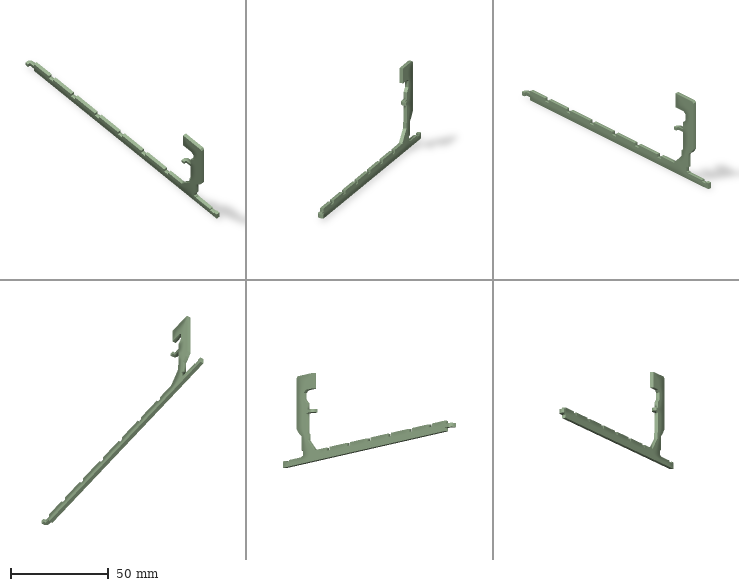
import cadquery as cq

length = 139.4
height = 45.8
thickness = 2.0
hook_reach = 3.3

beam_left = 4.7
beam_top = 5.5
notch_depth = 1.7
notch_starts = (15.7, 32.0, 49.6, 66.6, 83.6, 100.6)
notch_width = 2.9

tail_top = 3.3
tail_notch_left = 134.3
tail_notch_right = 137.3
tail_notch_depth = 0.8

head_left = 114.5
head_right = 128.1
head_bottom = 37.8
head_chamfer = 0.8
throat_x = 122.2
upright_left = 120.1
foot_left = 119.3
foot_right = 123.9
undercut_x = 122.6
foot_top = 15.0
undercut_bottom = 3.8
undercut_top = 6.7
head_taper_bottom = 14.1
head_taper_knee_x = 126.4
head_taper_knee_z = 16.2
head_taper_top = 18.4
throat_corner_x = 120.7
throat_top = 36.5
throat_bottom = 33.2
throat_ramp_bottom = 31.1
brace_top = 11.7
brace_start_x = 113.5

tip_width = 1.8
inner_radius = 0.4
outer_radius = inner_radius + tip_width
arm_overlap = 0.7
end_hook_bottom = 1.7
end_hook_height = 2.1
side_hook_left = 115.0
side_hook_bottom = 25.6
side_hook_height = 1.7


def plate():
    outline = [
        (beam_left, 0),
        (length, 0),
        (length, tail_top),
        (tail_notch_right, tail_top),
        (tail_notch_right, tail_top - tail_notch_depth),
        (tail_notch_left, tail_top - tail_notch_depth),
        (tail_notch_left, tail_top),
        (foot_right, tail_top),
        (foot_right, undercut_bottom),
        (undercut_x, undercut_bottom),
        (undercut_x, undercut_top),
        (foot_right, undercut_top),
        (foot_right, head_taper_bottom),
        (head_taper_knee_x, head_taper_knee_z),
        (head_right, head_taper_top),
        (head_right, height - head_chamfer),
        (head_right - head_chamfer, height),
        (head_left, height),
        (head_left, head_bottom),
        (throat_corner_x, head_bottom),
        (throat_x, throat_top),
        (throat_x, throat_bottom),
        (upright_left, throat_ramp_bottom),
        (upright_left, foot_top),
        (foot_left, foot_top),
        (foot_left, brace_top),
        (brace_start_x, beam_top),
        (beam_left, beam_top),
    ]
    return cq.Workplane("XZ").polyline(outline).close().extrude(thickness)


def beam_notch(start):
    cutter = cq.Workplane("XY").box(notch_width, thickness, notch_depth, centered=False)
    return cutter.translate((start, -thickness, beam_top - notch_depth))


def hook(left, root, bottom, hook_height):
    """L-shaped hook with a rounded elbow, joined to the plate at x = root."""
    arm_end = root + arm_overlap
    tip_right = left + tip_width
    return (
        cq.Workplane("XY", origin=(0, 0, bottom))
        .moveTo(arm_end, 0)
        .lineTo(left + outer_radius, 0)
        .radiusArc((left, -outer_radius), -outer_radius)
        .lineTo(left, -hook_reach)
        .lineTo(tip_right, -hook_reach)
        .lineTo(tip_right, -thickness - inner_radius)
        .radiusArc((tip_right + inner_radius, -thickness), inner_radius)
        .lineTo(arm_end, -thickness)
        .close()
        .extrude(hook_height)
    )


result = plate()
for notch_start in notch_starts:
    result = result.cut(beam_notch(notch_start))
result = result.union(hook(0, beam_left, end_hook_bottom, end_hook_height))
result = result.union(hook(side_hook_left, upright_left, side_hook_bottom, side_hook_height))